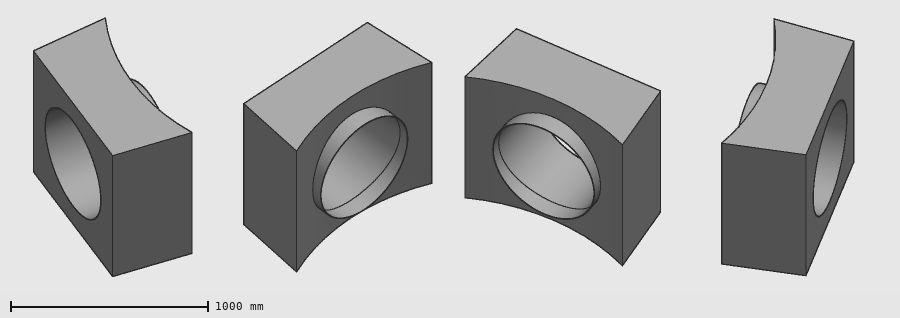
import cadquery as cq

front_width = 860.0
back_width = 940.0
height = 860.0
depth = 435.0
saddle_sag = 98.0

sleeve_diameter = 607.0
sleeve_wall = 4.0
sleeve_length = depth


def front_cylinder(diameter):
    """Cylinder along Y, starting at the front face and as long as the sleeve."""
    return cq.Workplane("XZ").circle(diameter / 2).extrude(-sleeve_length)


def make_block():
    """Block flaring toward a concave cylindrical back, bored to fit the sleeve."""
    body = (
        cq.Workplane("XY")
        .workplane(offset=-height / 2)
        .moveTo(-front_width / 2, 0)
        .lineTo(front_width / 2, 0)
        .lineTo(back_width / 2, depth)
        .threePointArc((0, depth - saddle_sag), (-back_width / 2, depth))
        .close()
        .extrude(height)
    )
    return body.cut(front_cylinder(sleeve_diameter))


def make_sleeve():
    """Straight tube from the front face to the level of the block's back corners."""
    bore_diameter = sleeve_diameter - 2 * sleeve_wall
    return front_cylinder(sleeve_diameter).cut(front_cylinder(bore_diameter))


block = make_block()
sleeve = make_sleeve()

result = cq.Compound.makeCompound([block.val(), sleeve.val()])